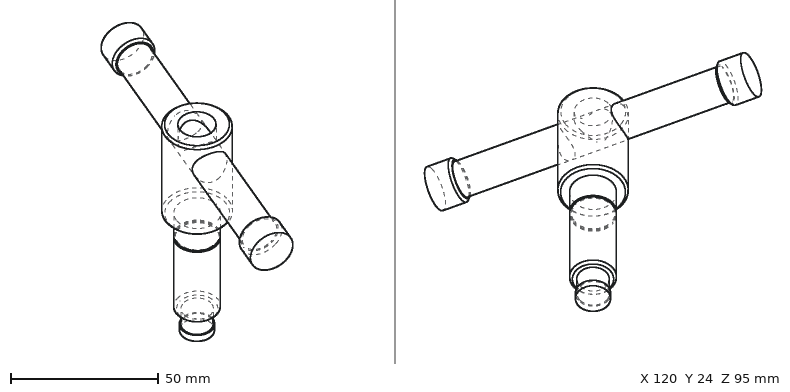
import cadquery as cq
import math

CHAMFER = 1.0
HANDLE_DIAMETER = 13.0

HANDLE_LENGTH = 120.0
KNOB_DIAMETER = 16.0
KNOB_LENGTH = 10.0

HANDLE_AXIS_DEPTH = 10.0
TOTAL_LENGTH = 95.0
HUB_DIAMETER = 24.0
HUB_LENGTH = 40.0
BORE_DIAMETER = 13.0
SHANK_DIAMETER = 16.0
SHANK_END_DEPTH = 83.0
GROOVE_TOP_DEPTH = 50.0
GROOVE_WIDTH = 0.7
GROOVE_RADIAL_DEPTH = 0.5
NECK_DIAMETER = 11.0
TIP_DIAMETER = 12.0
TIP_TOP_DEPTH = 90.0
DOME_RADIUS = 9.0

TOP_Z = HANDLE_AXIS_DEPTH
BOTTOM_Z = TOP_Z - TOTAL_LENGTH


def cylinder_down(diameter, top_depth, bottom_depth):
    """Vertical cylinder on the spindle axis between two depths."""
    return (
        cq.Workplane("XY")
        .workplane(offset=TOP_Z - bottom_depth)
        .circle(diameter / 2)
        .extrude(bottom_depth - top_depth)
    )


def handle_rod(diameter, start_x, length):
    """Round rod on the X axis."""
    return cq.Workplane("YZ").workplane(offset=start_x).circle(diameter / 2).extrude(length)


def make_handle():
    """Crossbar with a knob at each end, chamfered on its inner rim."""
    half_length = HANDLE_LENGTH / 2
    handle = handle_rod(HANDLE_DIAMETER, -half_length, HANDLE_LENGTH)
    left_knob = handle_rod(KNOB_DIAMETER, -half_length, KNOB_LENGTH).faces(">X").chamfer(CHAMFER)
    right_knob = left_knob.mirror("YZ")
    return handle.union(left_knob).union(right_knob)


def make_tip():
    """Round tip with a spherical lower end."""
    radius = TIP_DIAMETER / 2
    dome_height = DOME_RADIUS - math.sqrt(DOME_RADIUS**2 - radius**2)
    half_angle = math.asin(radius / DOME_RADIUS) / 2
    arc_middle = (
        DOME_RADIUS * math.sin(half_angle),
        BOTTOM_Z + DOME_RADIUS * (1 - math.cos(half_angle)),
    )
    tip_top_z = TOP_Z - TIP_TOP_DEPTH
    return (
        cq.Workplane("XZ")
        .moveTo(0, tip_top_z)
        .lineTo(radius, tip_top_z)
        .lineTo(radius, BOTTOM_Z + dome_height)
        .threePointArc(arc_middle, (0, BOTTOM_Z))
        .close()
        .revolve(360, (0, 0, 0), (0, 1, 0))
    )


def make_spindle():
    """Hub, grooved shank, neck and domed tip, with a cross hole for the handle."""
    hub = cylinder_down(HUB_DIAMETER, 0, HUB_LENGTH).faces("<Z or >Z").chamfer(CHAMFER)
    upper_shank = cylinder_down(SHANK_DIAMETER, HUB_LENGTH, GROOVE_TOP_DEPTH)
    groove_bottom_depth = GROOVE_TOP_DEPTH + GROOVE_WIDTH
    groove_diameter = SHANK_DIAMETER - 2 * GROOVE_RADIAL_DEPTH
    groove_core = cylinder_down(groove_diameter, GROOVE_TOP_DEPTH, groove_bottom_depth)
    lower_shank = cylinder_down(SHANK_DIAMETER, groove_bottom_depth, SHANK_END_DEPTH)
    lower_shank = lower_shank.faces("<Z").chamfer(CHAMFER)
    neck = cylinder_down(NECK_DIAMETER, SHANK_END_DEPTH, TIP_TOP_DEPTH)

    spindle = hub
    for section in (upper_shank, groove_core, lower_shank, neck, make_tip()):
        spindle = spindle.union(section)

    top_bore = cylinder_down(BORE_DIAMETER, 0, HANDLE_AXIS_DEPTH)
    cross_hole = handle_rod(HANDLE_DIAMETER, -HUB_DIAMETER / 2, HUB_DIAMETER)
    return spindle.cut(top_bore).cut(cross_hole)


handle = make_handle()
spindle = make_spindle()

result = cq.Compound.makeCompound([handle.val(), spindle.val()])